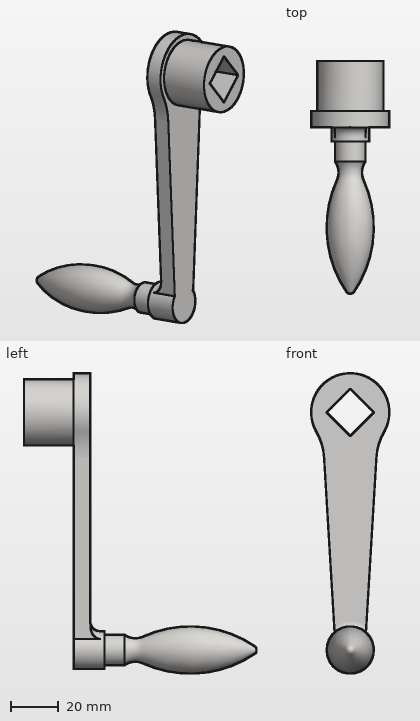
import cadquery as cq
import math

crank_length = 100.0
arm_thickness = 7.0
head_radius = 16.5
arm_half_width_at_head = 12.2
arm_half_width_at_handle = 6.2
head_blend_radius = 24.0

hub_radius = 14.0
hub_length = 21.0
square_side = 14.0

boss_radius = 8.0
boss_height = 6.0
boss_fillet = 4.0

handle_length = 64.0
collar_radius = 6.5
throat_radius = 5.0
neck_curve_radius = 8.0
grip_radius = 10.0
grip_curve_radius = 48.0
tip_radius = 2.0

boss_front = arm_thickness + boss_height


def cylinder(radius, length, z=0.0):
    """Cylinder along -Y from the back face of the arm, centred at height z."""
    return cq.Workplane("XZ").center(0, z).circle(radius).extrude(length)


def make_arm_taper(depth):
    """Tapered web between the socket axis and the handle axis."""
    outline = [
        (-arm_half_width_at_head, 0),
        (arm_half_width_at_head, 0),
        (arm_half_width_at_handle, -crank_length),
        (-arm_half_width_at_handle, -crank_length),
    ]
    return cq.Workplane("XZ").polyline(outline).close().extrude(depth)


def make_arm():
    """Round head and tapered web, blended where they meet."""
    arm = cylinder(head_radius, arm_thickness).union(make_arm_taper(arm_thickness))
    clearance = 1.0
    corner_zone = cq.selectors.BoxSelector(
        (-head_radius, -arm_thickness, -head_radius), (head_radius, 0, -clearance)
    )
    return arm.edges("|Y").edges(corner_zone).fillet(head_blend_radius)


def revolve_about_handle_axis(profile):
    """Turn a profile, drawn as (Y, radius), about the handle axis."""
    turned = profile.close().revolve(360, (0, 0, 0), (1, 0, 0))
    return turned.translate((0, 0, -crank_length))


def make_boss():
    """Handle boss with a fillet to the arm, kept within the width of the arm."""
    boss = cylinder(boss_radius, boss_front, -crank_length)
    flare_radius = boss_radius + boss_fillet
    fillet_end = arm_thickness + boss_fillet
    arc_offset = boss_fillet * (1 - math.sqrt(0.5))
    profile = (
        cq.Workplane("YZ")
        .moveTo(-arm_thickness, 0)
        .lineTo(-arm_thickness, flare_radius)
        .threePointArc(
            (-arm_thickness - arc_offset, boss_radius + arc_offset),
            (-fillet_end, boss_radius),
        )
        .lineTo(-fillet_end, 0)
    )
    flare = revolve_about_handle_axis(profile).intersect(make_arm_taper(boss_front))
    return boss.union(flare)


def point_on_arc(center, radius, angle):
    """Point on a handle curve; angle 0 is outward and a quarter turn is toward the tip."""
    center_y, center_radius = center
    return (center_y - radius * math.sin(angle), center_radius + radius * math.cos(angle))


def make_handle():
    """Collar, concave neck, barrel grip and rounded tip; neck, grip and tip are tangent."""
    tip_end = -boss_front - handle_length
    tip_center = (tip_end + tip_radius, 0)
    grip_center_radius = grip_radius - grip_curve_radius
    grip_to_tip = math.sqrt((grip_curve_radius - tip_radius) ** 2 - grip_center_radius**2)
    grip_center = (tip_center[0] + grip_to_tip, grip_center_radius)

    neck_center_radius = throat_radius + neck_curve_radius
    grip_to_neck_radius = neck_center_radius - grip_center_radius
    grip_to_neck = math.sqrt((grip_curve_radius + neck_curve_radius) ** 2 - grip_to_neck_radius**2)
    neck_center = (grip_center[0] + grip_to_neck, neck_center_radius)

    collar_angle = math.acos((neck_center_radius - collar_radius) / neck_curve_radius)
    grip_start_angle = -math.atan2(grip_to_neck, grip_to_neck_radius)
    grip_end_angle = math.atan2(grip_to_tip, -grip_center_radius)

    collar_end = point_on_arc(neck_center, neck_curve_radius, math.pi + collar_angle)
    throat = point_on_arc(neck_center, neck_curve_radius, math.pi)
    grip_start = point_on_arc(grip_center, grip_curve_radius, grip_start_angle)
    grip_middle = point_on_arc(grip_center, grip_curve_radius, 0)
    grip_end = point_on_arc(grip_center, grip_curve_radius, grip_end_angle)
    tip_middle = point_on_arc(tip_center, tip_radius, (grip_end_angle + math.pi / 2) / 2)

    profile = (
        cq.Workplane("YZ")
        .moveTo(-boss_front, 0)
        .lineTo(-boss_front, collar_radius)
        .lineTo(*collar_end)
        .threePointArc(throat, grip_start)
        .threePointArc(grip_middle, grip_end)
        .threePointArc(tip_middle, (tip_end, 0))
    )
    return revolve_about_handle_axis(profile)


def make_socket():
    """Square hole through head and hub, standing on one corner."""
    socket = cq.Workplane("XY").box(square_side, 2 * (hub_length + arm_thickness), square_side)
    return socket.rotate((0, 0, 0), (0, 1, 0), 45)


hub = cylinder(hub_radius, -hub_length)
result = make_arm().union(hub).union(make_boss()).union(make_handle()).cut(make_socket())